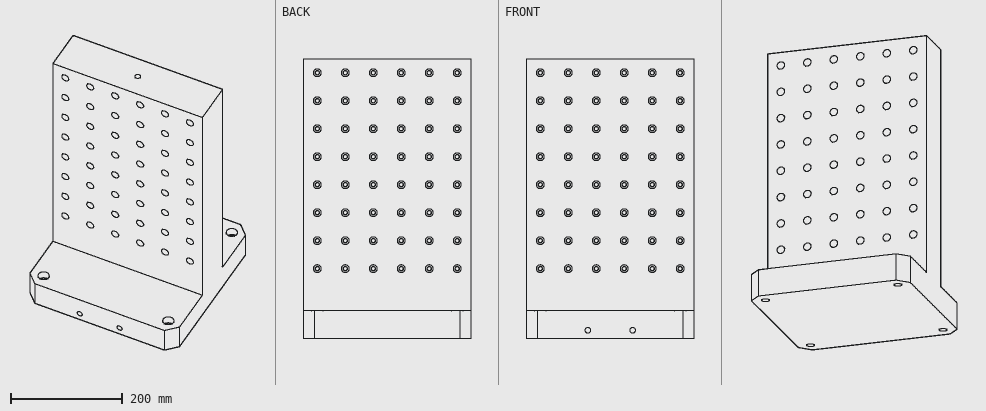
import cadquery as cq
import math

base_side = 300.0
base_height = 50.0
corner_chamfer = 20.0

total_height = 500.0
wall_thickness = 80.0

grid_columns = 6
grid_rows = 8
grid_pitch = 50.0
grid_top_margin = 25.0
grid_bore_diameter = 14.0
grid_bore_depth = 38.0

mount_spacing = 250.0
mount_diameter = 14.0
mount_bore_diameter = 20.0
mount_bore_depth = 15.0

drill_point_angle = 118.0

blind_diameter = 10.0
blind_depth = 20.0
side_hole_spacing = 80.0
side_hole_height = 15.0


def make_body():
    """Square base with chamfered corners carrying the upright wall."""
    base = (
        cq.Workplane("XY")
        .box(base_side, base_side, base_height, centered=(True, True, False))
        .edges("|Z")
        .chamfer(corner_chamfer)
    )
    wall = cq.Workplane("XY").box(
        base_side, wall_thickness, total_height, centered=(True, True, False)
    )
    return base.union(wall)


def drilled_bore(mouth, direction, diameter, depth):
    """Solid of a drilled bore from mouth along direction: full-width depth plus conical tip."""
    radius = diameter / 2
    tip_length = radius / math.tan(math.radians(drill_point_angle / 2))
    start = cq.Vector(*mouth)
    along = cq.Vector(*direction)
    shank = cq.Solid.makeCylinder(radius, depth, start, along)
    tip = cq.Solid.makeCone(radius, 0, tip_length, start + along * depth, along)
    return shank.fuse(tip)


def grid_hole():
    """Solid of one through hole along Y: two opposed bores whose conical tips overlap mid-wall."""
    half_wall = wall_thickness / 2
    front_bore = drilled_bore((0, -half_wall, 0), (0, 1, 0), grid_bore_diameter, grid_bore_depth)
    back_bore = drilled_bore((0, half_wall, 0), (0, -1, 0), grid_bore_diameter, grid_bore_depth)
    return front_bore.fuse(back_bore)


def drill_grid(body):
    """Grid of through holes in the wall, counted down from its top edge."""
    hole = grid_hole()
    first_x = -(grid_columns - 1) * grid_pitch / 2
    top_z = total_height - grid_top_margin
    holes = [
        hole.translate(cq.Vector(first_x + column * grid_pitch, 0, top_z - row * grid_pitch))
        for column in range(grid_columns)
        for row in range(grid_rows)
    ]
    return body.cut(cq.Workplane(cq.Compound.makeCompound(holes)))


def drill_mounts(body):
    """Counterbored through holes at the four corners of the base."""
    return (
        body.copyWorkplane(cq.Workplane("XY", origin=(0, 0, base_height)))
        .rarray(mount_spacing, mount_spacing, 2, 2)
        .cboreHole(mount_diameter, mount_bore_diameter, mount_bore_depth, base_height)
    )


def drill_blind_holes(body):
    """One hole in the top of the wall and a pair in the front of the base."""
    body = body.cut(drilled_bore((0, 0, total_height), (0, 0, -1), blind_diameter, blind_depth))
    for x in (-side_hole_spacing / 2, side_hole_spacing / 2):
        mouth = (x, -base_side / 2, side_hole_height)
        body = body.cut(drilled_bore(mouth, (0, 1, 0), blind_diameter, blind_depth))
    return body


result = drill_blind_holes(drill_mounts(drill_grid(make_body())))